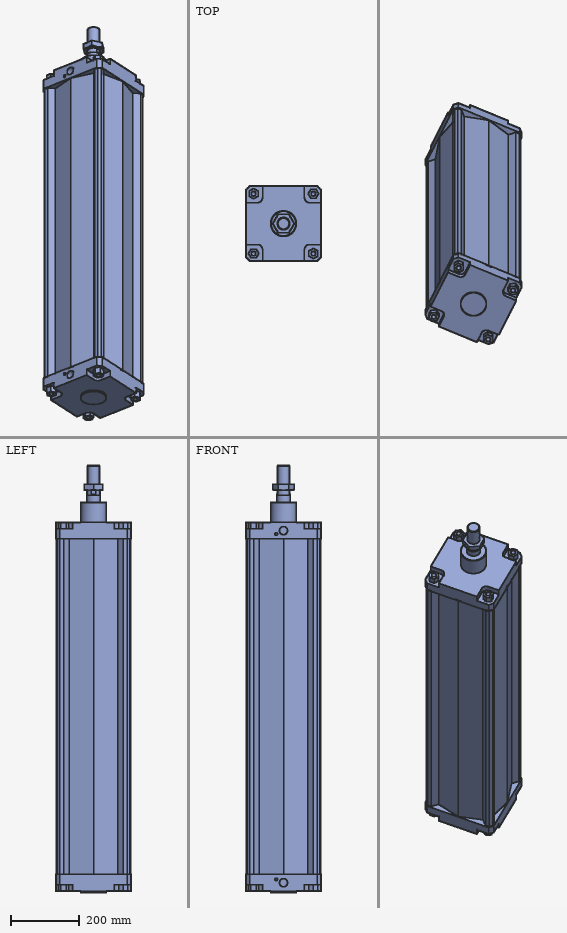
import cadquery as cq
import math

TOTAL_HEIGHT = 1252.0
REAR_BOSS_HEIGHT = 5.0
COVER_TOP = 1085.0

COVER_SIDE = 220.0
COVER_HEIGHT = 49.0
COVER_CHAMFER = 11.0
POCKET_SIDE = 49.0
POCKET_DEPTH = 19.0
POCKET_CORNER_RADIUS = 15.0

SCREW_INSET = 23.0
SCREW_FLATS = 26.0
SCREW_RECESS_DIAMETER = 14.0
SCREW_RECESS_ANGLE = 90.0

PORT_DIAMETER = 24.0
PORT_DEPTH = 25.0
CUSHION_DIAMETER = 8.0
CUSHION_DEPTH = 13.0
CUSHION_X = -21.0
CUSHION_OFFSET = 10.0

BARREL_HALF = 106.0
BARREL_CHAMFER = 8.0
VALLEY_OUTER = 88.0
VALLEY_INNER = 71.0
RIDGE_HALF = 109.0

BOSS_DIAMETER = 75.0
BOSS_HEIGHT = 59.0
BOSS_CHAMFER = 1.0
ROD_DIAMETER = 40.0
ROD_END_CHAMFER = 1.9
NECK_DIAMETER = 39.0
NECK_FLATS = 36.0
NECK_LENGTH = 15.0
FLATS_LENGTH = 13.0
THREAD_DIAMETER = 36.0
THREAD_LENGTH = 73.0
NUT_FLATS = 55.0
NUT_HEIGHT = 18.0
NUT_CHAMFER_ANGLE = 30.0

COVER_HALF = COVER_SIDE / 2
VALLEY_HALF = BARREL_HALF - (VALLEY_OUTER - VALLEY_INNER)
BARREL_BOTTOM = REAR_BOSS_HEIGHT + COVER_HEIGHT
BARREL_TOP = COVER_TOP - COVER_HEIGHT
BOSS_TOP = COVER_TOP + BOSS_HEIGHT
THREAD_BOTTOM = TOTAL_HEIGHT - THREAD_LENGTH
NECK_BOTTOM = THREAD_BOTTOM - NECK_LENGTH
CORNER_SIGNS = [(sx, sy) for sx in (-1, 1) for sy in (-1, 1)]


def cylinder(diameter, bottom, top):
    """Upright cylinder on the main axis."""
    return cq.Workplane("XY").workplane(offset=bottom).circle(diameter / 2).extrude(top - bottom)


def hexagon(flats, bottom, height):
    """Upright hexagonal prism on the main axis with two corners along X."""
    corners = flats / math.cos(math.radians(30))
    return cq.Workplane("XY").workplane(offset=bottom).polygon(6, corners).extrude(height)


def make_barrel():
    """Extruded tube profile: each side has a ridge at its middle and a valley near each corner."""
    land = BARREL_HALF - BARREL_CHAMFER
    side = [
        (-land, -BARREL_HALF),
        (-VALLEY_OUTER, -BARREL_HALF),
        (-VALLEY_INNER, -VALLEY_HALF),
        (0, -RIDGE_HALF),
        (VALLEY_INNER, -VALLEY_HALF),
        (VALLEY_OUTER, -BARREL_HALF),
        (land, -BARREL_HALF),
    ]
    outline = []
    for _ in range(4):
        outline += side
        side = [(-y, x) for x, y in side]
    height = BARREL_TOP - BARREL_BOTTOM
    return cq.Workplane("XY").workplane(offset=BARREL_BOTTOM).polyline(outline).close().extrude(height)


def make_pocket(sx, sy):
    """Cutter for the corner pocket of the front cover, with its inner corner rounded."""
    center = COVER_HALF - POCKET_SIDE / 2
    pocket = (
        cq.Workplane("XY")
        .workplane(offset=COVER_TOP - POCKET_DEPTH)
        .center(sx * center, sy * center)
        .rect(POCKET_SIDE, POCKET_SIDE)
        .extrude(POCKET_DEPTH)
    )
    inner_edge = cq.selectors.NearestToPointSelector((0, 0, COVER_TOP - POCKET_DEPTH / 2))
    return pocket.edges("|Z").edges(inner_edge).fillet(POCKET_CORNER_RADIUS)


def make_screw(sx, sy):
    """Hexagonal tie-rod screw head with a conical recess, turned to suit its corner."""
    center = COVER_HALF - SCREW_INSET
    turn = 0 if sx == sy else 90
    recess_radius = SCREW_RECESS_DIAMETER / 2
    recess_depth = recess_radius / math.tan(math.radians(SCREW_RECESS_ANGLE / 2))
    recess = cq.Solid.makeCone(0, recess_radius, recess_depth, pnt=(0, 0, COVER_TOP - recess_depth))
    head = hexagon(SCREW_FLATS, COVER_TOP - POCKET_DEPTH, POCKET_DEPTH).cut(cq.Workplane(recess))
    return head.rotate((0, 0, 0), (0, 0, 1), turn).translate((sx * center, sy * center, 0))


def make_side_hole(diameter, depth, x, z):
    """Cutter for a blind hole in the -Y face of a cover."""
    return (
        cq.Workplane("XZ", origin=(x, -COVER_HALF, z))
        .circle(diameter / 2)
        .extrude(-depth)
    )


def make_front_cover():
    """Square cover with corner pockets, screw heads, an air port and a cushion screw hole."""
    cover = (
        cq.Workplane("XY")
        .workplane(offset=BARREL_TOP)
        .rect(COVER_SIDE, COVER_SIDE)
        .extrude(COVER_HEIGHT)
        .edges("|Z")
        .chamfer(COVER_CHAMFER)
    )
    for sx, sy in CORNER_SIGNS:
        cover = cover.cut(make_pocket(sx, sy)).union(make_screw(sx, sy))
    port_z = COVER_TOP - COVER_HEIGHT / 2
    cover = cover.cut(make_side_hole(PORT_DIAMETER, PORT_DEPTH, 0, port_z))
    return cover.cut(make_side_hole(CUSHION_DIAMETER, CUSHION_DEPTH, CUSHION_X, port_z - CUSHION_OFFSET))


def make_housing():
    """Barrel, mirrored covers and bosses, bored from the front for the piston rod."""
    front_cover = make_front_cover()
    middle = (BARREL_BOTTOM + BARREL_TOP) / 2
    rear_cover = front_cover.mirror("XY", (0, 0, middle))
    front_boss = cylinder(BOSS_DIAMETER, BARREL_TOP, BOSS_TOP).faces(">Z").chamfer(BOSS_CHAMFER)
    return (
        make_barrel()
        .union(front_cover)
        .union(rear_cover)
        .union(cylinder(BOSS_DIAMETER, 0, BARREL_BOTTOM))
        .union(front_boss)
        .cut(cylinder(ROD_DIAMETER, BARREL_TOP, BOSS_TOP))
    )


def make_rod():
    """Piston rod with a flatted neck and a threaded end."""
    neck = cylinder(NECK_DIAMETER, NECK_BOTTOM, THREAD_BOTTOM)
    flats_center = THREAD_BOTTOM - FLATS_LENGTH / 2
    for sign in (-1, 1):
        cutter = cq.Workplane("XY").box(ROD_DIAMETER, ROD_DIAMETER, FLATS_LENGTH)
        neck = neck.cut(cutter.translate((sign * (NECK_FLATS + ROD_DIAMETER) / 2, 0, flats_center)))
    return (
        cylinder(ROD_DIAMETER, BARREL_TOP, NECK_BOTTOM)
        .union(neck)
        .union(cylinder(THREAD_DIAMETER, THREAD_BOTTOM, TOTAL_HEIGHT))
        .faces(">Z")
        .chamfer(ROD_END_CHAMFER)
    )


def make_nut():
    """Hexagonal lock nut at the foot of the thread, its lower corners turned to a cone."""
    corner_radius = NUT_FLATS / 2 / math.cos(math.radians(30))
    chamfer_height = (corner_radius - NUT_FLATS / 2) * math.tan(math.radians(NUT_CHAMFER_ANGLE))
    turned_blank = (
        cylinder(2 * corner_radius, THREAD_BOTTOM, THREAD_BOTTOM + NUT_HEIGHT)
        .faces("<Z")
        .chamfer(chamfer_height, corner_radius - NUT_FLATS / 2)
    )
    return (
        hexagon(NUT_FLATS, THREAD_BOTTOM, NUT_HEIGHT)
        .intersect(turned_blank)
        .cut(cylinder(THREAD_DIAMETER, THREAD_BOTTOM, THREAD_BOTTOM + NUT_HEIGHT))
    )


housing = make_housing()
rod = make_rod()
nut = make_nut()

result = cq.Compound.makeCompound([housing.val(), rod.val(), nut.val()])